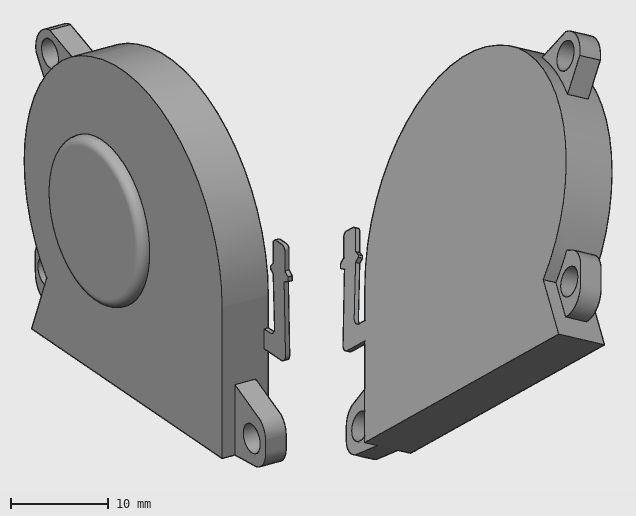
import cadquery as cq
import math


housing_depth = 5.6
right_x = 22.98
left_x = -14.95
bottom_z = -17.75
top_z = 18.6
crown_radius = 19.25
seam_x = -2.1
left_extreme_z = 0.6
notch_point = (-10.65, -10.8)
bottom_left_x = -13.55

crown_x = right_x - crown_radius
crown_z = top_z - crown_radius


def crown_point(x):
    """Point of the crown arc at the given X."""
    return x, crown_z + math.sqrt(crown_radius**2 - (x - crown_x) ** 2)


hub_diameter = 18.2
hub_height = 1.1
hub_edge_radius = 0.95

lug_thickness = 2.5
lug_hole_diameter = 3.2
lug_back_gap = 1.55
lug_overlap = 1.75
upper_hole = (-12.45, 13.5)
lower_hole = (-13.15, -11.5)
right_hole = (26.2, -14.55)
lower_lug_left_x = -15.25
right_lug_right_x = lower_lug_left_x + 44.1

clip_thickness = 0.55
clip_bottom_z = -6.55
clip_foot_top_z = -4.3
clip_top_z = 6.6
clip_tip_radius = 0.55
clip_tip_left_x = 24.7
clip_tip_right_x = 26.95
clip_neck_right_x = 26.8
clip_inner_corner_x = 24.95
clip_inner_radius = 0.9
clip_outer_corner_x = 27.08
clip_outer_radius = 0.85
barb_left_x = 24.15
barb_right_x = 27.55


def front_plane(y):
    """XZ sketch plane at depth y; positive extrusion runs towards the front."""
    return cq.Workplane("XZ", origin=(0, y, 0))


def make_housing():
    return (
        front_plane(housing_depth)
        .moveTo(bottom_left_x, bottom_z)
        .lineTo(right_x, bottom_z)
        .lineTo(right_x, crown_z)
        .threePointArc((crown_x, top_z), crown_point(seam_x))
        .threePointArc((left_x, left_extreme_z), notch_point)
        .close()
        .extrude(housing_depth)
    )


def make_hub():
    return (
        front_plane(0)
        .circle(hub_diameter / 2)
        .extrude(hub_height)
        .faces("<Y")
        .edges()
        .fillet(hub_edge_radius)
    )


def upper_lug_outline(plane):
    return (
        plane.moveTo(-7.9, 14.75)
        .lineTo(-12.5, 16.15)
        .threePointArc((-14.55, 15.0), (-15.13, 12.65))
        .lineTo(-12.8, 9.1)
        .lineTo(-8.8, 9.1)
        .close()
    )


def lower_lug_outline(plane):
    return (
        plane.moveTo(-12.1, -7.67)
        .lineTo(-14.05, -8.4)
        .threePointArc((-14.85, -9.1), (lower_lug_left_x, -10.0))
        .lineTo(lower_lug_left_x, -12.4)
        .threePointArc((-14.5, -14.35), (-12.45, -15.15))
        .lineTo(-9.7, -15.15)
        .lineTo(-9.7, -7.67)
        .close()
    )


def right_lug_outline(plane):
    inner_x = right_x - lug_overlap
    return (
        plane.moveTo(inner_x, bottom_z)
        .lineTo(right_x, bottom_z)
        .lineTo(26.9, -17.4)
        .threePointArc((28.3, -16.65), (right_lug_right_x, -15.1))
        .lineTo(right_lug_right_x, -13.65)
        .threePointArc((28.55, -12.55), (27.8, -11.77))
        .lineTo(right_x, -9.75)
        .lineTo(inner_x, -9.75)
        .close()
    )


def make_lug(outline, hole):
    """Lug plate with its screw hole, running into the housing."""
    plane = front_plane(housing_depth - lug_back_gap)
    plate = outline(plane).extrude(lug_thickness)
    bore = plane.center(*hole).circle(lug_hole_diameter / 2).extrude(lug_thickness)
    return plate.cut(bore)


def make_clip():
    tip_side_z = clip_top_z - clip_tip_radius
    return (
        front_plane(housing_depth)
        .moveTo(right_x, clip_bottom_z)
        .lineTo(clip_outer_corner_x - clip_outer_radius, clip_bottom_z)
        .radiusArc((clip_outer_corner_x, clip_bottom_z + clip_outer_radius), -clip_outer_radius)
        .lineTo(clip_neck_right_x, 2.5)
        .lineTo(barb_right_x, 2.85)
        .lineTo(barb_right_x, 3.4)
        .lineTo(clip_tip_right_x, 3.85)
        .lineTo(clip_tip_right_x, tip_side_z)
        .radiusArc((clip_tip_right_x - clip_tip_radius, clip_top_z), -clip_tip_radius)
        .lineTo(clip_tip_left_x + clip_tip_radius, clip_top_z)
        .radiusArc((clip_tip_left_x, tip_side_z), -clip_tip_radius)
        .lineTo(clip_tip_left_x, 3.8)
        .lineTo(barb_left_x, 3.25)
        .lineTo(barb_left_x, 3.0)
        .lineTo(clip_tip_left_x, 2.6)
        .lineTo(clip_inner_corner_x, clip_foot_top_z + clip_inner_radius)
        .radiusArc((clip_inner_corner_x - clip_inner_radius, clip_foot_top_z), clip_inner_radius)
        .lineTo(right_x, clip_foot_top_z)
        .close()
        .extrude(clip_thickness)
    )


result = (
    make_housing()
    .union(make_hub())
    .union(make_lug(upper_lug_outline, upper_hole))
    .union(make_lug(lower_lug_outline, lower_hole))
    .union(make_lug(right_lug_outline, right_hole))
    .union(make_clip())
)